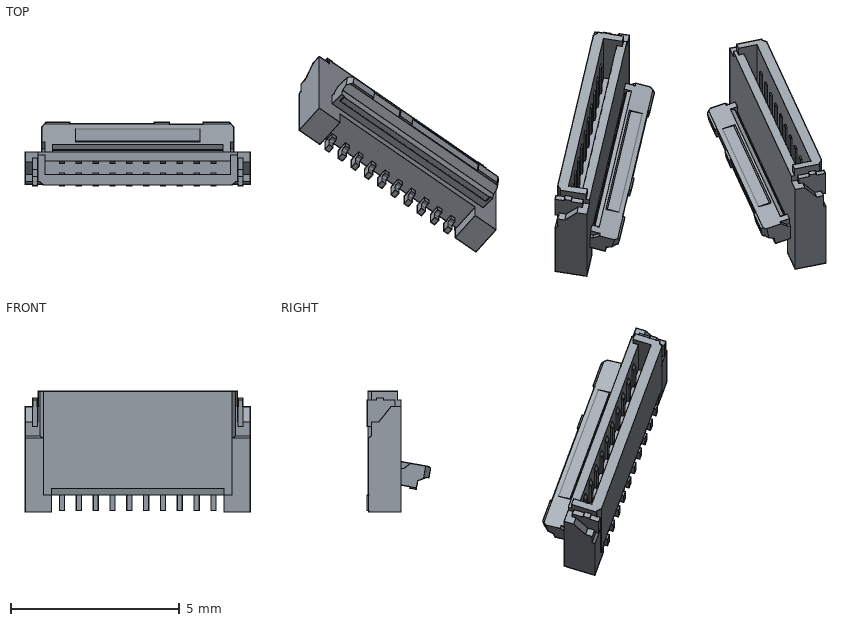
import cadquery as cq


overall_width = 6.7
overall_height = 3.6
back_y = 0.99
cover_bottom_z = 0.51
back_wall_top_z = 3.34

cover_half_width = 2.96
cheek_thickness = 0.20
cheek_back_y = 0.89
front_wall_thickness = 0.32
cover_face_half_width = 2.805
edge_chamfer_width = 0.108
edge_step_y = 0.107
foot_bevel_height = 0.19
foot_step_depth = 0.035
foot_bevel_depth = 0.08

cavity_back_y = 0.72
cavity_floor_z = 1.6

pillar_front_y = 0.025
pillar_inner_x = 2.56
pillar_top_z = 3.14
pillar_ramp_top_y = 0.69
pillar_ramp_bottom_y = 0.32
pillar_ledge_z = 2.675
pillar_notch_z = 2.27
pillar_notch_drop = 0.063

clip_inner_x = 2.98
clip_thickness = 0.148
clip_front_y = -0.02
clip_back_y = 0.81
clip_bottom_z = 2.55
clip_bump_y = 0.26
clip_bump_width = 0.21
clip_bump_height = 0.06

contact_count = 10
contact_pitch = 0.5
contact_width = 0.16
tail_front_y = -0.03
tail_depth = 0.2
tail_bottom_z = 0.05
shank_depth = 0.35
shank_height = 0.19
bend_radius = 0.08
blade_height = 0.07
front_blade_height = 0.045
blade_top_z = 2.9
blade_bevel_drop = 0.2

lever_half_width = 2.86
lever_tilt = 10.0
lever_pivot_z = 1.508
lever_root = 0.12
lever_length = 0.835
lever_nose_depth = 0.335
lever_heel_length = 0.59
lever_heel_rise = 0.48
lever_depth = 0.693
lever_corner_length = 0.09
lever_corner_width = 0.065
pad_height = 0.068
middle_pad_height = 0.02
pad_top_slope = 0.6
pad_spans = ((-lever_half_width, -2.015), (0.487, 0.94), (1.944, lever_half_width))
middle_pad_span = (-2.015, 0.487)
rib_start = 0.39
rib_height = 0.045
rib_end_inset = 0.1

finger_half_width = 1.845
finger_start = 0.295
finger_end = 0.69
finger_ramp = 0.045
finger_depth = 0.03
groove_half_width = 2.54
groove_back_y = 1.21
groove_back_z = 1.47
groove_bend_y = 1.067
groove_bend_z = 1.40
groove_floor_back_y = 1.024
relief_floor_z = 1.306
end_relief_inner_x = 2.763
end_relief_back_y = 1.28
end_relief_back_z = 1.458
end_relief_floor_back_y = 1.08


def block(x_range, y_range, z_range):
    """Axis-aligned box given by its limits."""
    low, high = zip(x_range, y_range, z_range)
    size = [end - start for start, end in zip(low, high)]
    return cq.Workplane("XY").box(*size, centered=False).translate(low)


def side_profile(points, x_start, x_end):
    """Extrude a (Y, Z) outline between two X positions."""
    outline = cq.Workplane("YZ", origin=(x_start, 0, 0)).polyline(points).close()
    return outline.extrude(x_end - x_start)


def both_ends(shape):
    """A shape together with its mirror image on the other end of the part."""
    return shape.union(shape.mirror("YZ"))


def make_cover():
    """Front wall, end cheeks and lower rear wall around the cable cavity."""
    outline = [
        (-cover_half_width, back_y),
        (-cover_half_width, edge_step_y),
        (-cover_face_half_width - edge_chamfer_width, edge_step_y),
        (-cover_face_half_width, 0),
        (cover_face_half_width, 0),
        (cover_face_half_width + edge_chamfer_width, edge_step_y),
        (cover_half_width, edge_step_y),
        (cover_half_width, back_y),
    ]
    height = overall_height - cover_bottom_z
    cover = cq.Workplane("XY", origin=(0, 0, cover_bottom_z)).polyline(outline).close().extrude(height)

    full_width = (-cover_half_width, cover_half_width)
    above_back_wall = (back_wall_top_z, overall_height)
    cavity_half_width = cover_half_width - cheek_thickness
    cavity_width = (-cavity_half_width, cavity_half_width)
    cover = cover.cut(block(full_width, (cheek_back_y, back_y), above_back_wall))
    cover = cover.cut(block(cavity_width, (front_wall_thickness, back_y), above_back_wall))
    cavity = block(cavity_width, (front_wall_thickness, cavity_back_y), (cavity_floor_z, overall_height))
    cover = cover.cut(cavity)

    shoulder_z = pillar_notch_z - pillar_notch_drop
    side_strip = block(
        (-cover_half_width, -cover_face_half_width), (0, pillar_front_y), (cover_bottom_z, shoulder_z)
    )
    cover = cover.cut(both_ends(side_strip))

    foot_bevel = [
        (0, cover_bottom_z),
        (foot_bevel_depth, cover_bottom_z),
        (foot_step_depth, cover_bottom_z + foot_bevel_height),
        (0, cover_bottom_z + foot_bevel_height),
    ]
    return cover.cut(side_profile(foot_bevel, -pillar_inner_x, pillar_inner_x))


def make_pillars():
    """Stepped and ramped pillars at both ends of the housing."""
    profile = [
        (pillar_front_y, 0),
        (back_y, 0),
        (back_y, pillar_top_z),
        (pillar_ramp_top_y, pillar_top_z),
        (pillar_ramp_bottom_y, pillar_ledge_z),
        (edge_step_y, pillar_ledge_z),
        (edge_step_y, pillar_notch_z),
        (pillar_front_y, pillar_notch_z - pillar_notch_drop),
    ]
    outer = side_profile(profile, -overall_width / 2, -cover_face_half_width)
    inner_foot = block(
        (-cover_face_half_width, -pillar_inner_x), (pillar_front_y, back_y), (0, cover_bottom_z)
    )
    return both_ends(outer.union(inner_foot))


def make_clips():
    """Thin upright clip plates, each with a small bump on its top edge."""
    x_range = (-clip_inner_x - clip_thickness, -clip_inner_x)
    plate = block(x_range, (clip_front_y, clip_back_y), (clip_bottom_z, back_wall_top_z))
    bump_y = (clip_bump_y, clip_bump_y + clip_bump_width)
    bump = block(x_range, bump_y, (back_wall_top_z, back_wall_top_z + clip_bump_height))
    return both_ends(plate.union(bump))


def make_contact(center_x):
    """One contact: a bent solder tail below and two blades on the cavity walls."""
    x_range = (center_x - contact_width / 2, center_x + contact_width / 2)
    tail_back_y = tail_front_y + tail_depth
    shank_bottom_z = cover_bottom_z - shank_height
    tail = (
        cq.Workplane("YZ", origin=(x_range[0], 0, 0))
        .moveTo(tail_front_y, cover_bottom_z)
        .lineTo(tail_front_y, tail_bottom_z)
        .lineTo(tail_back_y, tail_bottom_z)
        .lineTo(tail_back_y, shank_bottom_z - bend_radius)
        .tangentArcPoint((bend_radius, bend_radius))
        .lineTo(tail_front_y + shank_depth, shank_bottom_z)
        .lineTo(tail_front_y + shank_depth, cover_bottom_z)
        .close()
        .extrude(contact_width)
    )
    rear_blade = [
        (cavity_back_y, cavity_floor_z),
        (cavity_back_y, blade_top_z),
        (cavity_back_y - blade_height, blade_top_z - blade_bevel_drop),
        (cavity_back_y - blade_height, cavity_floor_z),
    ]
    front_y = (front_wall_thickness, front_wall_thickness + front_blade_height)
    front_blade = block(x_range, front_y, (cavity_floor_z, blade_top_z))
    blades = front_blade.union(side_profile(rear_blade, *x_range))
    return tail.union(blades)


def make_lever_pad(span, height):
    """Raised pad on the rear face of the lever, with a sloping top."""
    profile = [
        (lever_length, 0),
        (lever_length + height, -height * pad_top_slope),
        (lever_length + height, -lever_nose_depth),
        (lever_length, -lever_nose_depth),
    ]
    return side_profile(profile, *span)


def make_lever():
    """Locking lever leaning out of the rear wall."""
    profile = [
        (-lever_root, 0),
        (lever_length, 0),
        (lever_length, -lever_nose_depth),
        (lever_heel_length, -lever_heel_rise),
        (lever_heel_length, -lever_depth),
        (-lever_root, -lever_depth),
    ]
    lever = side_profile(profile, -lever_half_width, lever_half_width)

    for span in pad_spans:
        lever = lever.union(make_lever_pad(span, pad_height))
    lever = lever.union(make_lever_pad(middle_pad_span, middle_pad_height))

    tip = lever_length + pad_height
    corner = [
        (-lever_half_width, tip),
        (-lever_half_width, lever_length - lever_corner_length),
        (-lever_half_width + lever_corner_width + pad_height, tip),
    ]
    corner_cut = cq.Workplane("XY").polyline(corner).close().extrude(lever_depth, both=True)
    lever = lever.cut(both_ends(corner_cut))

    rib_half_width = lever_half_width - rib_end_inset
    rib = block(
        (-rib_half_width, rib_half_width),
        (rib_start, lever_heel_length),
        (-lever_depth - rib_height, -lever_depth),
    )
    lever = lever.union(rib)

    finger = [
        (finger_start, 0),
        (finger_start + finger_ramp, -finger_depth),
        (finger_end, 0),
    ]
    lever = lever.cut(side_profile(finger, -finger_half_width, finger_half_width))

    lever = lever.rotate((0, 0, 0), (1, 0, 0), -lever_tilt)
    return lever.translate((0, back_y, lever_pivot_z))


def make_lever_reliefs():
    """Ramped recesses in the lever top, next to the rear wall."""
    groove = [
        (back_y, lever_pivot_z),
        (back_y, relief_floor_z),
        (groove_floor_back_y, relief_floor_z),
        (groove_bend_y, groove_bend_z),
        (groove_back_y, groove_back_z),
        (groove_back_y, lever_pivot_z),
    ]
    end_relief = [
        (back_y, lever_pivot_z),
        (back_y, relief_floor_z),
        (end_relief_floor_back_y, relief_floor_z),
        (end_relief_back_y, end_relief_back_z),
        (end_relief_back_y, lever_pivot_z),
    ]
    ends = both_ends(side_profile(end_relief, -lever_half_width, -end_relief_inner_x))
    return ends.union(side_profile(groove, -groove_half_width, groove_half_width))


result = make_cover().union(make_pillars()).union(make_clips())
for index in range(contact_count):
    result = result.union(make_contact((index - (contact_count - 1) / 2) * contact_pitch))
result = result.union(make_lever().cut(make_lever_reliefs()))